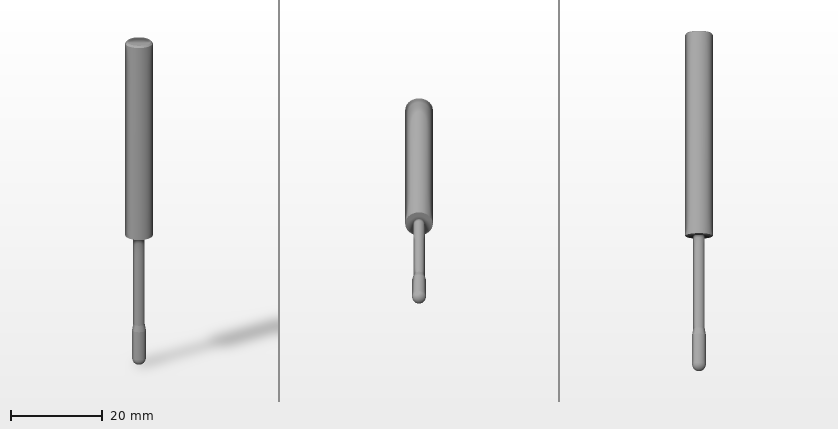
import cadquery as cq
import math


overall_length = 75.0
shank_diameter = 6.0
shank_length = 45.0
shank_chamfer = 0.38

neck_diameter = 2.5
head_diameter = 3.0
head_length = 8.0
taper_half_angle = 10.0

shank_radius = shank_diameter / 2
neck_radius = neck_diameter / 2
head_radius = head_diameter / 2

shank_bottom = overall_length - shank_length
taper_length = (head_radius - neck_radius) / math.tan(math.radians(taper_half_angle))
taper_top = head_length + taper_length


def half_profile():
    """Closed outline in the XZ plane, from the axis to the outer surface."""
    ball_mid = head_radius * math.sin(math.radians(45))
    return (
        cq.Workplane("XZ")
        .moveTo(0, 0)
        .threePointArc((ball_mid, head_radius - ball_mid), (head_radius, head_radius))
        .lineTo(head_radius, head_length)
        .lineTo(neck_radius, taper_top)
        .lineTo(neck_radius, shank_bottom)
        .lineTo(shank_radius, shank_bottom)
        .lineTo(shank_radius, overall_length - shank_chamfer)
        .lineTo(shank_radius - shank_chamfer, overall_length)
        .lineTo(0, overall_length)
        .close()
    )


result = half_profile().revolve(360, (0, 0, 0), (0, 1, 0))